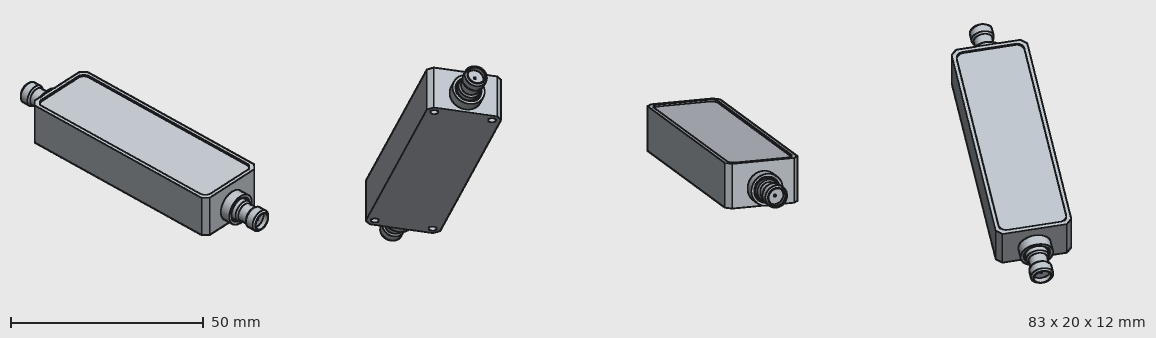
import cadquery as cq

total_length = 83
body_length = 62.0
body_width = 20.0
body_height = 12.0
corner_chamfer = 1.5
lid_rim = 1.1
lid_corner_radius = 2.0
lid_recess_depth = 0.5

screw_hole_diameter = 2.1
screw_hole_depth = 4.15
screw_hole_inset = 2.2

connector_height = 5.1
connector_length = (total_length - body_length) / 2
collar_diameter = 8.6
collar_length = 3.0
collar_groove_diameter = 7.0
collar_groove_depth = 0.5
barrel_diameter = 6.0
neck_diameter = 5
shoulder_length = 1.0
head_length = 2.8
barrel_taper = (barrel_diameter - neck_diameter) / 2
bore_diameter = 4.6
bore_depth = 1.5
contact_hole_diameter = 0.6
contact_hole_depth = 1.5


def make_housing():
    housing = (
        cq.Workplane("XY")
        .box(body_length, body_width, body_height, centered=(True, True, False))
        .edges("|Z")
        .chamfer(corner_chamfer)
    )
    recess = (
        cq.Workplane("XY", origin=(0, 0, body_height - lid_recess_depth))
        .rect(body_length - 2 * lid_rim, body_width - 2 * lid_rim)
        .extrude(lid_recess_depth)
        .edges("|Z")
        .fillet(lid_corner_radius)
    )
    screw_holes = (
        cq.Workplane("XY")
        .rect(body_length - 2 * screw_hole_inset, body_width - 2 * screw_hole_inset, forConstruction=True)
        .vertices()
        .circle(screw_hole_diameter / 2)
        .extrude(screw_hole_depth)
    )
    return housing.cut(recess).cut(screw_holes)


def make_connector():
    """Connector on the +X end, turned about its own axis."""
    base_x = body_length / 2
    tip_x = base_x + connector_length
    collar_x = base_x + collar_length
    groove_x = collar_x - collar_groove_depth
    shoulder_x = collar_x + shoulder_length
    head_x = tip_x - head_length
    bore_x = tip_x - bore_depth
    contact_x = bore_x - contact_hole_depth

    section = [
        (base_x, 0),
        (base_x, collar_diameter / 2),
        (collar_x, collar_diameter / 2),
        (collar_x, collar_groove_diameter / 2),
        (groove_x, collar_groove_diameter / 2),
        (groove_x, barrel_diameter / 2),
        (shoulder_x, barrel_diameter / 2),
        (shoulder_x + barrel_taper, neck_diameter / 2),
        (head_x - barrel_taper, neck_diameter / 2),
        (head_x, barrel_diameter / 2),
        (tip_x - barrel_taper, barrel_diameter / 2),
        (tip_x, neck_diameter / 2),
        (tip_x, bore_diameter / 2),
        (bore_x, bore_diameter / 2),
        (bore_x, contact_hole_diameter / 2),
        (contact_x, contact_hole_diameter / 2),
        (contact_x, 0),
    ]
    return (
        cq.Workplane("XZ")
        .polyline(section)
        .close()
        .revolve(360, (0, 0, 0), (1, 0, 0))
        .translate((0, 0, connector_height))
    )


connector = make_connector()
result = make_housing().union(connector).union(connector.mirror("YZ"))